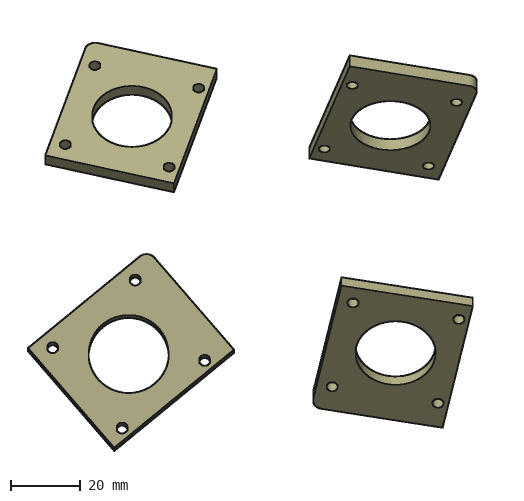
import cadquery as cq

width = 38.5
length = 45.0
thickness = 4.0
corner_radius = 3.0

bore_diameter = 23.0
bore_x = 20.0
bore_y = 21.0

screw_hole_diameter = 3.2
screw_spacing = 31.0

plate = cq.Workplane("XY").box(width, length, thickness, centered=False)
plate = plate.edges("|Z").edges("<X").edges(">Y").fillet(corner_radius)

bore_centre = plate.faces(">Z").workplane(origin=(bore_x, bore_y, thickness))
plate = bore_centre.hole(bore_diameter)
screw_centre = plate.faces(">Z").workplane(origin=(bore_x, bore_y, thickness))
result = screw_centre.rarray(screw_spacing, screw_spacing, 2, 2).hole(screw_hole_diameter)